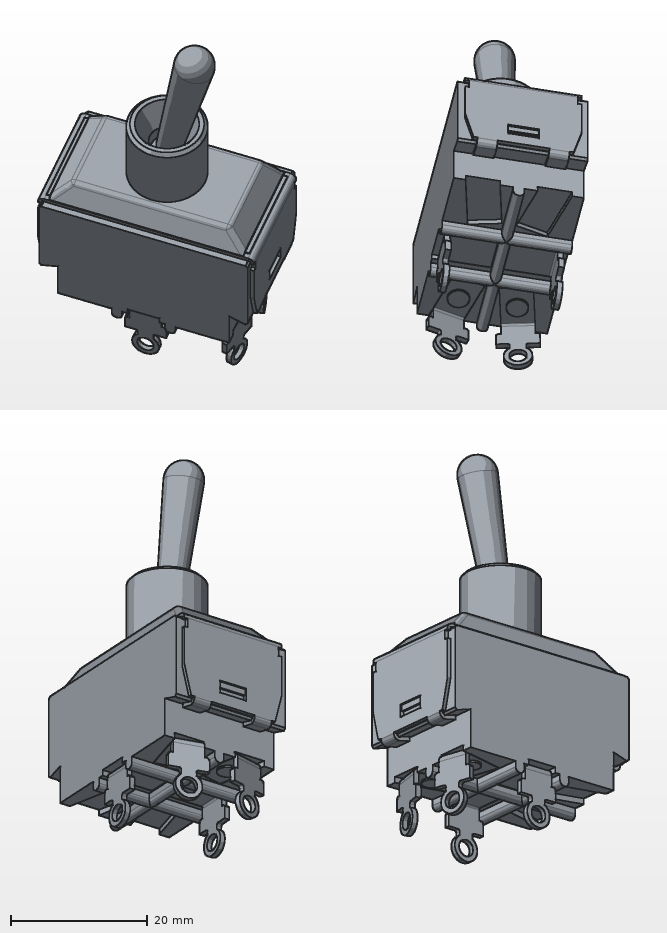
import cadquery as cq
import math


case_half_y = 9.75
case_top = 18.7
foot_half_x = 13.45
step_outer_z = 5.3
step_inner_z = 6.05
case_end_chamfer = 0.35

clip_length = 34.0
sheet = 0.6
clip_half_y = 8.75
clip_outer_bend = 1.0
clip_taper_z = 10.55
clip_end_z = 5.75
clip_end_half_y = 7.5
relief_depth = 0.6
relief_bottom = 16.8
relief_top = 18.2
window_width = 4.65
window_bottom = 7.7
window_top = 9.7
catch_height = 0.3
hook_y = 5.4
hook_width = 3.05
hook_bend = 1.0
hook_tip_x = 14.0
hook_lowest_z = 4.7
hook_tip_z = 5.15

cover_half_x = 15.75
cover_end_x = 15.3
rim_half_x = 15.95
rim_half_y = 7.9
rim_height = 0.2
cover_half_y = 8.6
roof_half_x = 12.4
roof_half_y = 6.9
roof_z = 22.75
cover_round = 1.0

bushing_radius = 6.0
bushing_top = 33.5
bushing_chamfer = 0.55
funnel_top_radius = 4.7
funnel_depth = 3.9
bore_diameter = 5.4
pivot_z = 26.8
lever_tilt = 11.2
lever_root_radius = 1.9
knob_radius = 3.05
knob_distance = 22.2

rib_width = 1.65
rib_depth = 1.7
rib_root = 0.35
cross_rib_x = 4.2
channel_depth = 0.9
channel_length = 8.0
terminal_sheet = 0.85
stem_width = 5.05
head_width = 6.5
head_top_z = -1.95
head_bottom_z = -4.25
head_corner = 0.3
neck_width = 2.4
neck_round = 0.35
eye_z = -6.9
eye_radius = 2.1
eye_hole_diameter = 2.6
terminal_bend = 1.15
side_terminal_face_y = 8.9
end_terminal_face_x = 13.4
end_terminal_y = 5.4
end_terminal_turn = 13.5
rivet_diameter = 3.3
rivet_setback = 4.25
rivet_bottom_z = -0.25

clip_outer_x = clip_length / 2
case_half_x = clip_outer_x - sheet
clip_top = case_top + sheet
bore_radius = bore_diameter / 2
both_sides = (-1, 1)


def centered_box(size_x, size_y, z_low, z_high, x=0.0, y=0.0):
    """Box centred at (x, y), reaching from z_low to z_high."""
    box = cq.Workplane("XY").box(size_x, size_y, z_high - z_low, centered=(True, True, False))
    return box.translate((x, y, z_low))


def on_both_ends(shape):
    """The shape and its mirror image at the other X end."""
    return shape.union(shape.mirror("YZ"))


def make_case():
    half_outline = [
        (0, 0),
        (foot_half_x, 0),
        (foot_half_x, step_inner_z),
        (case_half_x - case_end_chamfer, step_outer_z),
        (case_half_x, step_outer_z + case_end_chamfer),
        (case_half_x, case_top - case_end_chamfer),
        (case_half_x - case_end_chamfer, case_top),
        (0, case_top),
    ]
    half = cq.Workplane("XZ").polyline(half_outline).close().extrude(case_half_y, both=True)
    return on_both_ends(half)


def make_clip():
    clip = centered_box(clip_length, 2 * clip_half_y, clip_end_z, clip_top)
    clip = clip.edges("|Y and >Z").fillet(clip_outer_bend)
    clip = clip.cut(centered_box(2 * case_half_x, 2 * case_half_y, 0, case_top))

    flap_taper = [
        (clip_half_y, clip_taper_z),
        (clip_half_y, clip_end_z),
        (clip_end_half_y, clip_end_z),
    ]
    for side in both_sides:
        corner = [(side * y, z) for y, z in flap_taper]
        clip = clip.cut(cq.Workplane("YZ").polyline(corner).close().extrude(clip_outer_x, both=True))
        relief_y = side * (clip_half_y - relief_depth / 2)
        clip = clip.cut(
            centered_box(clip_length, relief_depth, relief_bottom, relief_top, y=relief_y)
        )
    return clip.cut(centered_box(clip_length, window_width, window_bottom, window_top))


def make_catches():
    """Lugs on the case ends that fill the upper half of the clip windows."""
    middle = (window_bottom + window_top) / 2
    return centered_box(2 * (case_half_x + catch_height), window_width, middle, window_top)


def make_hooks():
    """Clip tabs bent inward under the steps of the case."""
    hook = (
        cq.Workplane("XZ")
        .moveTo(case_half_x, clip_end_z + hook_bend)
        .lineTo(clip_outer_x, clip_end_z + hook_bend)
        .lineTo(clip_outer_x, hook_lowest_z + hook_bend)
        .radiusArc((clip_outer_x - hook_bend, hook_lowest_z), hook_bend)
        .lineTo(hook_tip_x, hook_tip_z)
        .lineTo(hook_tip_x, step_inner_z)
        .lineTo(case_half_x - case_end_chamfer, step_outer_z)
        .lineTo(case_half_x, step_outer_z + case_end_chamfer)
        .close()
        .extrude(hook_width / 2, both=True)
    )
    hooks = hook.translate((0, hook_y, 0)).union(hook.translate((0, -hook_y, 0)))
    return on_both_ends(hooks)


def make_cover():
    """Hipped lid with rounded edges, upright ends and a thin rim where it meets the clip."""
    cover = (
        cq.Workplane("XY")
        .workplane(offset=clip_top)
        .rect(2 * cover_half_x, 2 * cover_half_y)
        .workplane(offset=roof_z - clip_top)
        .rect(2 * roof_half_x, 2 * roof_half_y)
        .loft(ruled=True)
    )
    cover = cover.edges("not <Z").fillet(cover_round)
    cover = cover.intersect(centered_box(2 * cover_end_x, 2 * cover_half_y, clip_top, roof_z))
    rim = centered_box(2 * rim_half_x, 2 * rim_half_y, case_top, clip_top + rim_height)
    return cover.union(rim)


def make_bushing():
    funnel_z = bushing_top - funnel_depth
    profile = [
        (0, case_top),
        (bushing_radius, case_top),
        (bushing_radius, bushing_top - bushing_chamfer),
        (bushing_radius - bushing_chamfer, bushing_top),
        (funnel_top_radius, bushing_top),
        (bore_radius, funnel_z),
        (bore_radius, pivot_z),
        (0, pivot_z),
    ]
    return cq.Workplane("XZ").polyline(profile).close().revolve(360, (0, 0), (0, 1))


def make_lever():
    """Pivot ball, tapered shaft tangent to the knob, and knob, leaning toward +X."""
    taper = math.asin((knob_radius - lever_root_radius) / knob_distance)
    shaft_end_radius = knob_radius * math.cos(taper)
    shaft_end = knob_distance - knob_radius * math.sin(taper)
    shaft_and_knob = (
        cq.Workplane("XZ")
        .lineTo(lever_root_radius, 0)
        .lineTo(shaft_end_radius, shaft_end)
        .radiusArc((0, knob_distance + knob_radius), -knob_radius)
        .close()
        .revolve(360, (0, 0), (0, 1))
    )
    lever = shaft_and_knob.union(cq.Workplane("XY").sphere(bore_radius))
    return lever.rotate((0, 0, 0), (0, 1, 0), lever_tilt).translate((0, 0, pivot_z))


def make_ribs():
    """One U-section rib along X and two across it, rooted in the case."""
    radius = rib_width / 2

    def rib(plane, half_length):
        return (
            cq.Workplane(plane)
            .moveTo(-radius, rib_root)
            .lineTo(-radius, radius - rib_depth)
            .threePointArc((0, -rib_depth), (radius, radius - rib_depth))
            .lineTo(radius, rib_root)
            .close()
            .extrude(half_length, both=True)
        )

    ribs = rib("YZ", foot_half_x)
    for side in both_sides:
        ribs = ribs.union(rib("XZ", case_half_y).translate((side * cross_rib_x, 0, 0)))
    return ribs


def make_terminal():
    """Solder terminal whose outer face lies at x = 0, with its leg running toward -X."""
    plate = centered_box(terminal_sheet, stem_width, head_bottom_z, channel_depth - terminal_bend)
    head = centered_box(terminal_sheet, head_width, head_bottom_z, head_top_z)
    plate = plate.union(head.edges("|X and >Z").chamfer(head_corner))
    plate = plate.union(centered_box(terminal_sheet, neck_width, eye_z, head_bottom_z))
    neck_corners = cq.selectors.BoxSelector(
        (-terminal_sheet, -neck_width, head_bottom_z - neck_round),
        (terminal_sheet, neck_width, head_bottom_z + neck_round),
    )
    plate = plate.edges("|X").edges(neck_corners).fillet(neck_round)
    plate = plate.translate((-terminal_sheet / 2, 0, 0))

    eye = cq.Workplane("YZ").center(0, eye_z).circle(eye_radius).extrude(-terminal_sheet)
    hole = cq.Workplane("YZ").center(0, eye_z).circle(eye_hole_diameter / 2).extrude(-terminal_sheet)

    inner_bend = terminal_bend - terminal_sheet
    bend_z = channel_depth - terminal_bend
    leg = (
        cq.Workplane("XZ")
        .moveTo(0, bend_z)
        .radiusArc((-terminal_bend, channel_depth), -terminal_bend)
        .lineTo(-channel_length, channel_depth)
        .lineTo(-channel_length, channel_depth - terminal_sheet)
        .lineTo(-terminal_bend, channel_depth - terminal_sheet)
        .radiusArc((-terminal_sheet, bend_z), inner_bend)
        .close()
        .extrude(stem_width / 2, both=True)
    )
    return plate.union(eye).cut(hole).union(leg)


def make_channel():
    """Cutter for the channel that holds a terminal leg, in the terminal's own position."""
    return centered_box(2 * channel_length, stem_width, 0, channel_depth)


def place_at_end(shape):
    """Turn a terminal shape into its place at the +X end, on the -Y side."""
    turned = shape.rotate((0, 0, 0), (0, 0, 1), -end_terminal_turn)
    return turned.translate((end_terminal_face_x, -end_terminal_y, 0))


def place_at_front(shape):
    """Turn a terminal shape into its place in the middle of the -Y side."""
    return shape.rotate((0, 0, 0), (0, 0, 1), -90).translate((0, -side_terminal_face_y, 0))


end_channels = on_both_ends(place_at_end(make_channel()))
channels = end_channels.union(place_at_front(make_channel()))
case = make_case()
case = case.cut(channels).cut(channels.mirror("XZ"))

rivet = (
    cq.Workplane("XY")
    .workplane(offset=rivet_bottom_z)
    .center(-rivet_setback, 0)
    .circle(rivet_diameter / 2)
    .extrude(channel_depth - rivet_bottom_z)
)
terminals = place_at_end(make_terminal().union(rivet)).union(place_at_front(make_terminal()))

result = (
    case.union(make_clip())
    .union(make_catches())
    .union(make_hooks())
    .union(make_cover())
    .union(make_bushing())
    .union(make_lever())
    .union(make_ribs())
    .union(terminals)
    .union(terminals.mirror("XZ"))
)